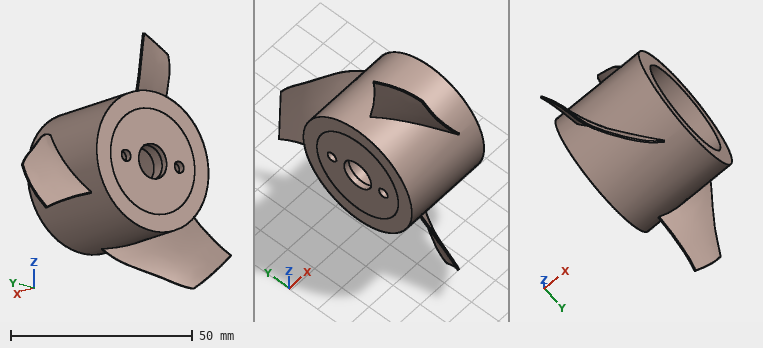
import cadquery as cq
import math

HUB_LENGTH = 30.05
HUB_RADIUS = 20.0
TUBE_BORE_RADIUS = 15.0

FRONT_DISC_THICKNESS = 2.0
INNER_DISC_THICKNESS = 3.5
SHAFT_HOLE_RADIUS = 5.0
BOLT_HOLE_RADIUS = 1.6
BOLT_OFFSET = 9.5

BLADE_COUNT = 3
BLADE_THICKNESS = 0.5
POINTS_ACROSS = 7

BLADE_SECTIONS = [
    (18.05, -2.8, 5.9, 62.5, 24.6, -0.4),
    (20.0, -1.8, 6.0, 58.0, 22.9, -0.35),
    (24.85, 0.6, 6.05, 46.6, 18.9, -0.15),
    (29.0, 1.5, 6.0, 36.4, 15.3, 0.1),
    (33.8, 1.9, 5.7, 28.5, 12.35, 0.35),
    (38.05, 1.9, 5.1, 22.0, 10.5, 0.6),
]


def section_points(radius, lead_angle, lead_x, trail_angle, trail_x, bow):
    """Points across one blade section, all at the same distance from the hub axis."""
    points = []
    for i in range(POINTS_ACROSS):
        t = i / (POINTS_ACROSS - 1)
        angle = math.radians(lead_angle + t * (trail_angle - lead_angle))
        x = lead_x + t * (trail_x - lead_x) + 4 * bow * t * (1 - t)
        points.append(cq.Vector(x, -radius * math.sin(angle), radius * math.cos(angle)))
    return points


def make_blade():
    """One twisted blade: a smooth surface through the sections, given a thickness."""
    grid = [section_points(*section) for section in BLADE_SECTIONS]
    return cq.Workplane(obj=cq.Face.makeSplineApprox(grid, tol=0.01).thicken(BLADE_THICKNESS))


def make_propeller():
    """Hub tube with the blades in one piece with it."""
    propeller = cq.Workplane("YZ").circle(HUB_RADIUS).circle(TUBE_BORE_RADIUS).extrude(HUB_LENGTH)
    blade = make_blade()
    for i in range(BLADE_COUNT):
        propeller = propeller.union(blade.rotate((0, 0, 0), (1, 0, 0), i * 360 / BLADE_COUNT))
    return propeller


def make_disc(start_x, thickness):
    """Disc that fills the tube bore, with a shaft hole and two bolt holes."""
    return (
        cq.Workplane("YZ", origin=(start_x, 0, 0))
        .circle(TUBE_BORE_RADIUS)
        .circle(SHAFT_HOLE_RADIUS)
        .pushPoints([(-BOLT_OFFSET, 0), (BOLT_OFFSET, 0)])
        .circle(BOLT_HOLE_RADIUS)
        .extrude(thickness)
    )


propeller = make_propeller()
front_disc = make_disc(0, FRONT_DISC_THICKNESS)
inner_disc = make_disc(FRONT_DISC_THICKNESS, INNER_DISC_THICKNESS)

result = cq.Compound.makeCompound(
    [
        *propeller.vals()[0].Solids(),
        front_disc.val(),
        inner_disc.val(),
    ]
)